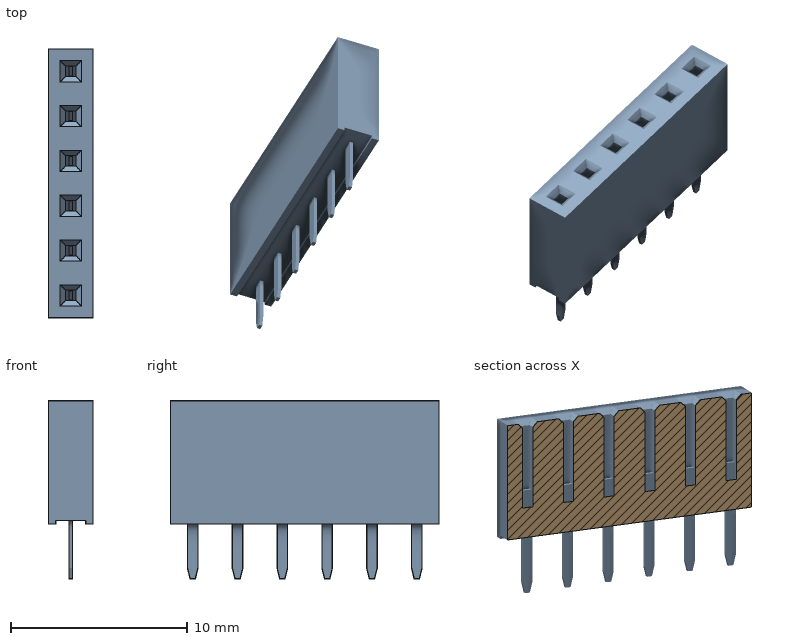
import cadquery as cq

pin_count = 6
pitch = 2.54

body_width = pitch
body_length = pin_count * pitch
body_height = 7.0

rail_width = 0.42
rail_height = 0.2
channel_width = body_width - 2 * rail_width

funnel_mouth = 1.2
well_side = 0.6
funnel_depth = (funnel_mouth - well_side) / 2
well_floor_z = 2.0

pin_thickness = 0.2
pin_width = 0.6
contact_width = 0.52
contact_height = 1.0
pin_tip_width = 0.3
pin_taper_length = 0.6
pin_bottom_z = -3.1

pin_positions = [(i - (pin_count - 1) / 2) * pitch for i in range(pin_count)]


def make_body():
    body = cq.Workplane("XY").box(body_width, body_length, body_height, centered=(True, True, False))
    channel = cq.Workplane("XY").box(channel_width, body_length, rail_height, centered=(True, True, False))
    return body.cut(channel)


def make_socket(y):
    funnel_bottom_z = body_height - funnel_depth
    funnel = (
        cq.Workplane("XY", origin=(0, y, funnel_bottom_z))
        .rect(well_side, well_side)
        .workplane(offset=funnel_depth)
        .rect(funnel_mouth, funnel_mouth)
        .loft(ruled=True)
    )
    well = (
        cq.Workplane("XY", origin=(0, y, well_floor_z))
        .rect(well_side, well_side)
        .extrude(funnel_bottom_z - well_floor_z)
    )
    return funnel.union(well)


def make_pin(y):
    taper_top_z = pin_bottom_z + pin_taper_length
    tail = (
        cq.Workplane("YZ", origin=(0, y, 0))
        .moveTo(-pin_tip_width / 2, pin_bottom_z)
        .lineTo(pin_tip_width / 2, pin_bottom_z)
        .lineTo(pin_width / 2, taper_top_z)
        .lineTo(pin_width / 2, well_floor_z)
        .lineTo(-pin_width / 2, well_floor_z)
        .lineTo(-pin_width / 2, taper_top_z)
        .close()
        .extrude(pin_thickness / 2, both=True)
    )
    contact = (
        cq.Workplane("XY", origin=(0, y, well_floor_z))
        .rect(pin_thickness, contact_width)
        .extrude(contact_height)
    )
    return tail.union(contact)


result = make_body()
for pin_y in pin_positions:
    result = result.cut(make_socket(pin_y)).union(make_pin(pin_y))